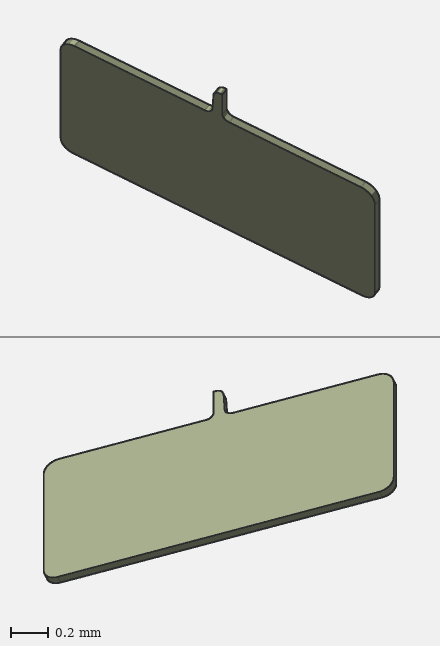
import cadquery as cq

plate_width = 2.0
overall_height = 1.12
thickness = 0.046
tab_height = 0.205
plate_height = overall_height - tab_height
top_corner_radius = 0.09
bottom_corner_radius = 0.08

tab_right_x = 0.029
tab_left_base_x = -0.036
tab_left_top_x = -0.026
tab_tip_radius = 0.045
tab_left_root_radius = 0.05
tab_right_root_radius = 0.042

half_width = plate_width / 2
bottom_z = -overall_height / 2
plate_top_z = bottom_z + plate_height
tip_z = overall_height / 2


def extrude_outline(points):
    """Extrude a closed XZ outline symmetrically about Y = 0."""
    return cq.Workplane("XZ").polyline(points).close().extrude(thickness / 2, both=True)


def fillet_upright_edge(body, x, z, radius):
    """Round the edge running along Y through the outline corner (x, z)."""
    corner = cq.selectors.NearestToPointSelector((x, 0, z))
    return body.edges("|Y").edges(corner).fillet(radius)


plate_with_tab = extrude_outline([
    (-half_width, bottom_z),
    (half_width, bottom_z),
    (half_width, plate_top_z),
    (tab_right_x, plate_top_z),
    (tab_right_x, tip_z),
    (tab_left_top_x, tip_z),
    (tab_left_base_x, plate_top_z),
    (-half_width, plate_top_z),
])

rounded_corners = [
    (-half_width, bottom_z, bottom_corner_radius),
    (half_width, bottom_z, bottom_corner_radius),
    (half_width, plate_top_z, top_corner_radius),
    (-half_width, plate_top_z, top_corner_radius),
    (tab_right_x, plate_top_z, tab_right_root_radius),
    (tab_left_base_x, plate_top_z, tab_left_root_radius),
    (tab_left_top_x, tip_z, tab_tip_radius),
]

result = plate_with_tab
for corner_x, corner_z, corner_radius in rounded_corners:
    result = fillet_upright_edge(result, corner_x, corner_z, corner_radius)